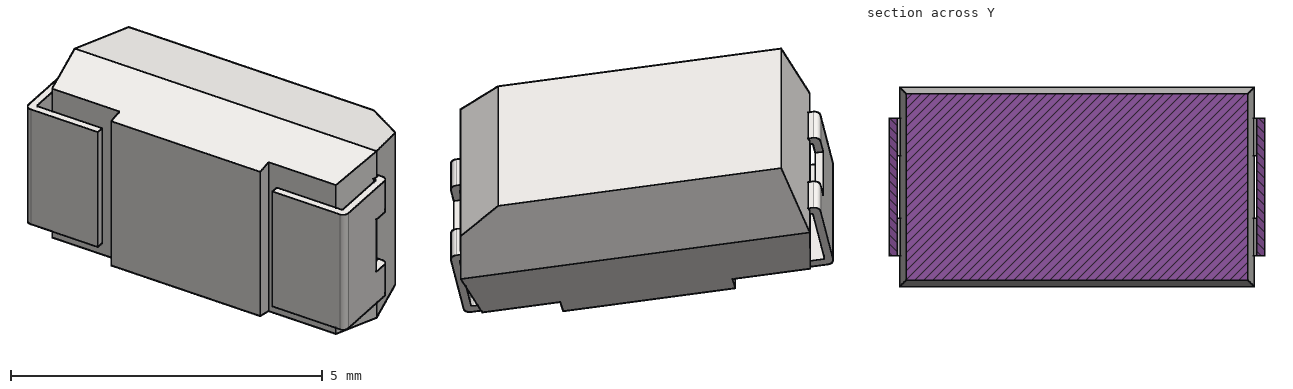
import cadquery as cq
import math


total_height = 2.52
parting_height = 1.235
case_length = 5.69
case_width = 3.2
draft_angle = 10
standoff = 0.02
end_step_height = 0.27
center_pad_length = 2.81
chamfer_length = 0.705
chamfer_height = 0.48

lead_span = 6.03
lead_width = 2.205
lead_thickness = 0.13
lead_top = 1.295
foot_length = 1.37
bend_radius = 0.1
inner_bend_radius = 0.025
notch_width = 1.0
notch_depth = 0.34

draft_slope = math.tan(math.radians(draft_angle))
side_wall_inner = lead_span / 2 - lead_thickness


def box(x_range, y_range, width):
    """Box between two X and two Y limits, centred on Z = 0."""
    length = x_range[1] - x_range[0]
    height = y_range[1] - y_range[0]
    center = (sum(x_range) / 2, sum(y_range) / 2, 0)
    return cq.Workplane("XY").box(length, height, width).translate(center)


def drafted_half(end_height):
    """Half of the case, tapering from the parting plane to the given height."""
    inset = 2 * draft_slope * abs(end_height - parting_height)
    return (
        cq.Workplane("XZ", origin=(0, parting_height, 0))
        .rect(case_length, case_width)
        .workplane(offset=parting_height - end_height)
        .rect(case_length - inset, case_width - inset)
        .loft(ruled=True)
    )


def end_chamfer():
    """Wedge removed from the upper +X edge of the case."""
    low_y = total_height - chamfer_height
    low_x = case_length / 2 - draft_slope * (low_y - parting_height)
    high_x = low_x - chamfer_length
    return (
        cq.Workplane("XY")
        .moveTo(high_x, total_height)
        .lineTo(low_x, low_y)
        .lineTo(low_x, total_height)
        .close()
        .extrude(case_width / 2, both=True)
    )


def make_case(frame):
    """Moulded case with tunnels that fit the rails of the lead frame."""
    case = drafted_half(total_height).union(drafted_half(standoff))
    case = case.cut(end_chamfer())
    pad_end = center_pad_length / 2
    case_end = case_length / 2
    for x_range in ((-case_end, -pad_end), (pad_end, case_end)):
        case = case.cut(box(x_range, (0, end_step_height), case_width))
    return case.cut(frame)


def make_lead_frame():
    """Bent strip with a slot along its middle and a foot under each end."""
    half_span = lead_span / 2
    foot_tip = half_span - foot_length
    frame = box((-half_span, half_span), (0, lead_top), lead_width)
    frame = frame.edges("|Z").fillet(bend_radius)
    inside_x = (-side_wall_inner, side_wall_inner)
    inside_y = (lead_thickness, lead_top - lead_thickness)
    inside = box(inside_x, inside_y, lead_width).edges("|Z").fillet(inner_bend_radius)
    frame = frame.cut(inside)
    frame = frame.cut(box((-foot_tip, foot_tip), (0, lead_thickness), lead_width))
    notch_y = (lead_top - notch_depth, lead_top)
    return frame.cut(box((-half_span, half_span), notch_y, notch_width))


lead_frame = make_lead_frame()
case = make_case(lead_frame)

result = cq.Compound.makeCompound([case.val(), lead_frame.val()])